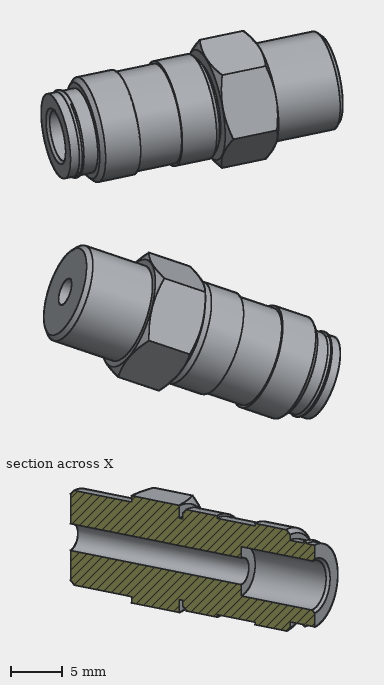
import cadquery as cq
import math

total_length = 28.0
ring_center = 1.15
body_front = 2.8
waist_front = 6.85
waist_back = 11.17
body_back = 15.15
hex_front = 15.48
hex_back = 21.0

nose_radius = 4.2
body_radius = 5.2
waist_radius = 4.95
shank_radius = 4.87
chamfer = 0.45

ring_section_radius = 0.25
ring_outer_radius = 4.37

hex_across_flats = 11.0
hex_chamfer_radius = 5.45
hex_chamfer_angle = 30.0

socket_radius = 2.5
socket_depth = 8.4
socket_chamfer = 0.28
passage_radius = 1.35


def cylinder(radius, start, end):
    """Cylinder about the Y axis between two axial positions."""
    return cq.Workplane("XZ", origin=(0, start, 0)).circle(radius).extrude(start - end)


def revolve_about_y(points):
    """Solid of revolution from (radius, y) points."""
    axis_start = (0, 0, 0)
    axis_end = (0, 1, 0)
    return cq.Workplane("XY").polyline(points).close().revolve(360, axis_start, axis_end)


def make_hexagon():
    """Hexagon with corners on X and conical chamfers at both ends."""
    corner_diameter = hex_across_flats / math.cos(math.radians(30))
    corner_radius = corner_diameter / 2
    prism = (
        cq.Workplane("XZ", origin=(0, hex_front, 0))
        .polygon(6, corner_diameter)
        .extrude(hex_front - hex_back)
    )
    chamfer_depth = (corner_radius - hex_chamfer_radius) * math.tan(math.radians(hex_chamfer_angle))
    envelope = revolve_about_y([
        (0, hex_front),
        (hex_chamfer_radius, hex_front),
        (corner_radius, hex_front + chamfer_depth),
        (corner_radius, hex_back - chamfer_depth),
        (hex_chamfer_radius, hex_back),
        (0, hex_back),
    ])
    return prism.intersect(envelope)


def make_body():
    """Sleeve with a narrowed waist and chamfered outer ends."""
    front_collar = cylinder(body_radius, body_front, waist_front).faces("<Y").chamfer(chamfer)
    waist = cylinder(waist_radius, waist_front, waist_back)
    back_collar = cylinder(body_radius, waist_back, body_back).faces(">Y").chamfer(chamfer)
    return front_collar.union(waist).union(back_collar)


def make_ring():
    """Bead around the nose."""
    return cq.Workplane(obj=cq.Solid.makeTorus(
        ring_outer_radius - ring_section_radius,
        ring_section_radius,
        cq.Vector(0, ring_center, 0),
        cq.Vector(0, 1, 0),
    ))


def make_bore():
    """Chamfered socket stepping down to a passage right through the part."""
    socket = revolve_about_y([
        (0, 0),
        (socket_radius + socket_chamfer, 0),
        (socket_radius, socket_chamfer),
        (socket_radius, socket_depth),
        (0, socket_depth),
    ])
    return socket.union(cylinder(passage_radius, 0, total_length))


nose = cylinder(nose_radius, 0, hex_back)
shank = cylinder(shank_radius, hex_back, total_length).faces(">Y").chamfer(chamfer)

result = (
    nose.union(make_ring())
    .union(make_body())
    .union(make_hexagon())
    .union(shank)
    .cut(make_bore())
)